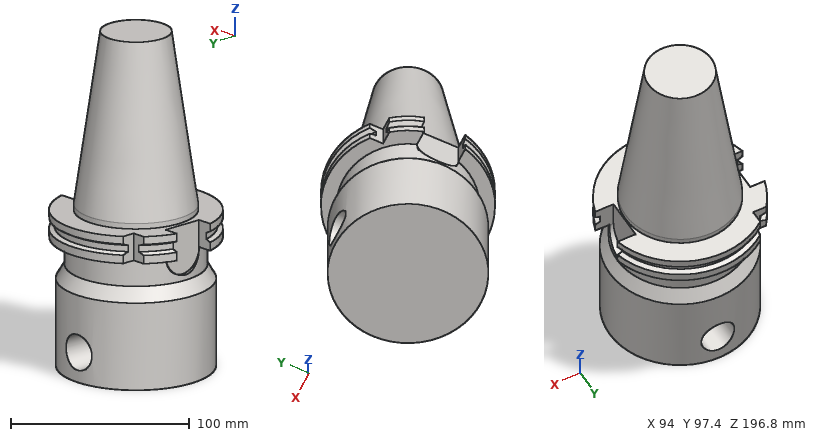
import cadquery as cq

total_height = 196.8

body_diameter = 90.0
body_height = 51.4
neck_diameter = 80.0
shoulder_top = 59.6

flange_diameter = 97.4
flange_bottom = 75.7
flange_top = 91.7

groove_diameter = 91.3
groove_mouth_bottom = 80.7
groove_floor_bottom = 81.8
groove_floor_top = 85.5
groove_mouth_top = 87.2

taper_ratio = 7 / 24
taper_diameter = 69.8
taper_start = 95.0
taper_tip_diameter = taper_diameter - taper_ratio * (total_height - taper_start)

slot_width = 25.5
slot_radius = slot_width / 2
slot_bottom = 62.8
slot_floor_left = 37.8
slot_floor_right = 35.5

notch_offset = 30.1

screw_diameter = 21.0
screw_height = 17.7
screw_depth = 22.0


def revolved_body():
    """Turn the complete stepped profile around Z."""
    profile = [
        (body_diameter / 2, 0),
        (body_diameter / 2, body_height),
        (neck_diameter / 2, shoulder_top),
        (neck_diameter / 2, flange_bottom),
        (flange_diameter / 2, flange_bottom),
        (flange_diameter / 2, groove_mouth_bottom),
        (groove_diameter / 2, groove_floor_bottom),
        (groove_diameter / 2, groove_floor_top),
        (flange_diameter / 2, groove_mouth_top),
        (flange_diameter / 2, flange_top),
        (taper_diameter / 2, flange_top),
        (taper_diameter / 2, taper_start),
        (taper_tip_diameter / 2, total_height),
        (0, total_height),
    ]
    outline = cq.Workplane("XZ").moveTo(0, 0)
    for radius, height in profile:
        outline = outline.lineTo(radius, height)
    return outline.close().revolve(360, (0, 0, 0), (0, 1, 0))


def drive_slot(side, floor):
    """Cutter for one drive slot; side is -1 or +1 along X."""
    arc_center = slot_bottom + slot_radius
    return (
        cq.Workplane("YZ", origin=(side * floor, 0, 0))
        .moveTo(-slot_radius, flange_top)
        .lineTo(-slot_radius, arc_center)
        .threePointArc((0, slot_bottom), (slot_radius, arc_center))
        .lineTo(slot_radius, flange_top)
        .close()
        .extrude(side * flange_diameter / 2)
    )


def orientation_notch():
    """Cutter for the square corner taken through the flange."""
    reach = flange_diameter / 2
    return (
        cq.Workplane("XY", origin=(0, 0, flange_bottom))
        .moveTo(-notch_offset, notch_offset)
        .rect(-reach, reach, centered=False)
        .extrude(flange_top - flange_bottom)
    )


def screw_hole():
    """Cutter for the blind radial hole, entering from +Y."""
    return (
        cq.Workplane("XZ", origin=(0, body_diameter / 2, screw_height))
        .circle(screw_diameter / 2)
        .extrude(screw_depth)
    )


result = (
    revolved_body()
    .cut(drive_slot(-1, slot_floor_left))
    .cut(drive_slot(1, slot_floor_right))
    .cut(orientation_notch())
    .cut(screw_hole())
)